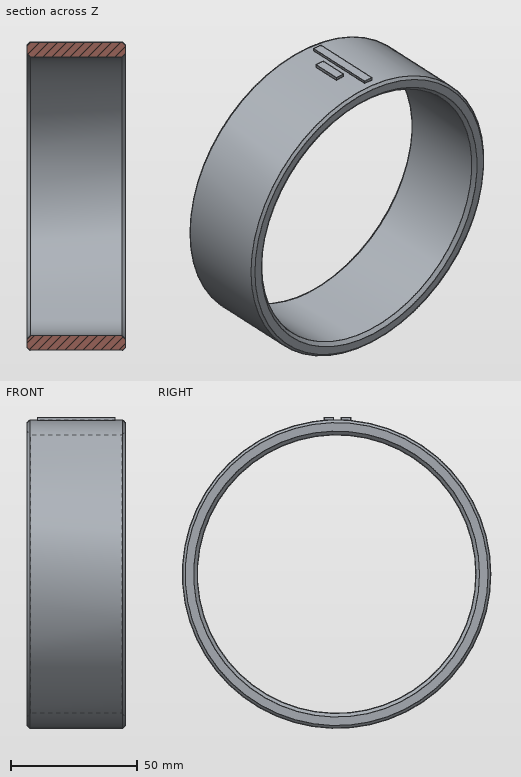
import cadquery as cq

overall_height = 123.0
outer_diameter = 122.0
inner_diameter = 110.1
ring_width = 39.0
outer_chamfer = 1.1
inner_chamfer = 1.5

strip_depth = 3.8
long_strip_length = 30.7
long_strip_y = -3.1
short_strip_length = 12.3
short_strip_y = 3.7

outer_radius = outer_diameter / 2
inner_radius = inner_diameter / 2
strip_top_z = overall_height - outer_radius


def make_ring():
    """Revolve the wall section, with all four corners chamfered, about the X axis."""
    half_width = ring_width / 2
    section = [
        (-half_width, inner_radius + inner_chamfer),
        (-half_width, outer_radius - outer_chamfer),
        (-half_width + outer_chamfer, outer_radius),
        (half_width - outer_chamfer, outer_radius),
        (half_width, outer_radius - outer_chamfer),
        (half_width, inner_radius + inner_chamfer),
        (half_width - inner_chamfer, inner_radius),
        (-half_width + inner_chamfer, inner_radius),
    ]
    return cq.Workplane("XY").polyline(section).close().revolve(360, (0, 0, 0), (1, 0, 0))


def make_strip(length, centre_y):
    """Block standing from the middle of the ring wall up to the overall height."""
    wall_middle_radius = (outer_radius + inner_radius) / 2
    return (
        cq.Workplane("XY", origin=(0, centre_y, wall_middle_radius))
        .rect(length, strip_depth)
        .extrude(strip_top_z - wall_middle_radius)
    )


result = make_ring()
for strip_length, strip_y in (
    (long_strip_length, long_strip_y),
    (short_strip_length, short_strip_y),
):
    result = result.union(make_strip(strip_length, strip_y))